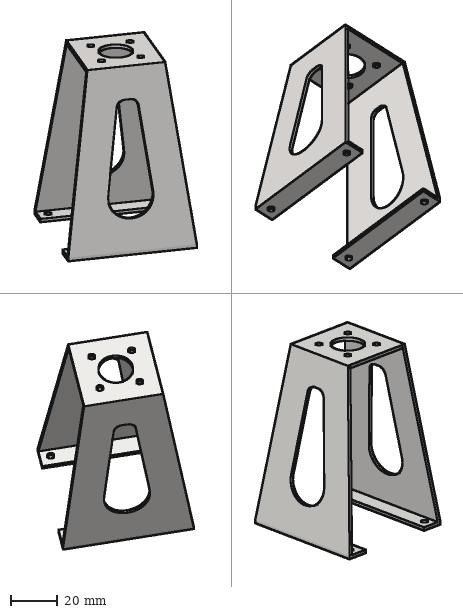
import cadquery as cq
import math

height = 84.45
base_length_x = 55.78
base_length_y = 57.86
thickness = 1.6

top_side = 35.0
shaft_hole_diameter = 15.0
screw_hole_diameter = 3.0
screw_circle_diameter = 25.0

foot_width = 10.0
foot_hole_diameter = 3.0
foot_hole_inset_x = 5.0
foot_hole_inset_y = 4.75

window_bottom_height = 16.35
window_top_height = 69.5
window_bottom_width = 23.2
window_top_width = 9.0
window_bottom_radius = 10.0
window_top_radius = 3.8

half_base_x = base_length_x / 2
half_base_y = base_length_y / 2
half_top = top_side / 2
wall_rise = height - thickness
wall_run = half_base_x - half_top
wall_tilt = math.atan2(wall_run, wall_rise)
wall_thickness_x = thickness / math.cos(wall_tilt)


def outer_wall_x(z):
    """Distance of the outer wall face from the centre plane at height z."""
    return half_base_x - (z - thickness) * math.tan(wall_tilt)


def wall():
    """Sloping wall on the +X side, tapering in Y from the foot up to the top plate."""
    section = [
        (half_base_x, thickness),
        (half_top, height),
        (half_top - wall_thickness_x, height),
        (half_base_x - wall_thickness_x, thickness),
    ]
    taper = [
        (-half_base_y, thickness),
        (half_base_y, thickness),
        (half_top, height),
        (-half_top, height),
    ]
    slab = cq.Workplane("XZ").polyline(section).close().extrude(half_base_y, both=True)
    silhouette = cq.Workplane("YZ").polyline(taper).close().extrude(half_base_x)
    return slab.intersect(silhouette)


def foot():
    """Flat foot under the +X wall, reaching inwards from its outer face."""
    return (
        cq.Workplane("XY")
        .center(half_base_x - foot_width / 2, 0)
        .rect(foot_width, base_length_y)
        .extrude(thickness)
    )


def top_plate():
    """Square plate joining the tops of the two walls."""
    return (
        cq.Workplane("XY")
        .workplane(offset=height - thickness)
        .rect(top_side, top_side)
        .extrude(thickness)
    )


def window_cutter():
    """Rounded trapezoid prism square to the wall on the +X side."""
    wall_plane = cq.Plane(
        origin=(outer_wall_x(window_bottom_height), 0, window_bottom_height),
        xDir=(0, 1, 0),
        normal=(math.cos(wall_tilt), 0, math.sin(wall_tilt)),
    )
    window_length = (window_top_height - window_bottom_height) / math.cos(wall_tilt)
    trapezoid = [
        (-window_bottom_width / 2, 0),
        (window_bottom_width / 2, 0),
        (window_top_width / 2, window_length),
        (-window_top_width / 2, window_length),
    ]
    prism = cq.Workplane(wall_plane).polyline(trapezoid).close().extrude(2 * thickness, both=True)
    corners = cq.selectors.ParallelDirSelector(wall_plane.zDir)
    prism = prism.edges(corners).edges("<Z").fillet(window_bottom_radius)
    return prism.edges(corners).edges(">Z").fillet(window_top_radius)


def top_plate_holes():
    """Central shaft hole with four screw holes on a square pattern."""
    screw_pitch = screw_circle_diameter / math.sqrt(2)
    plate = cq.Workplane("XY").workplane(offset=height - thickness)
    shaft_hole = plate.circle(shaft_hole_diameter / 2).extrude(thickness)
    screw_holes = (
        plate.rarray(screw_pitch, screw_pitch, 2, 2)
        .circle(screw_hole_diameter / 2)
        .extrude(thickness)
    )
    return shaft_hole.union(screw_holes)


def foot_holes():
    """One mounting hole near each end of both feet."""
    pitch_x = base_length_x - 2 * foot_hole_inset_x
    pitch_y = base_length_y - 2 * foot_hole_inset_y
    return (
        cq.Workplane("XY")
        .rarray(pitch_x, pitch_y, 2, 2)
        .circle(foot_hole_diameter / 2)
        .extrude(thickness)
    )


leg = wall().cut(window_cutter()).union(foot())
result = (
    top_plate()
    .union(leg)
    .union(leg.mirror("YZ"))
    .cut(top_plate_holes())
    .cut(foot_holes())
)